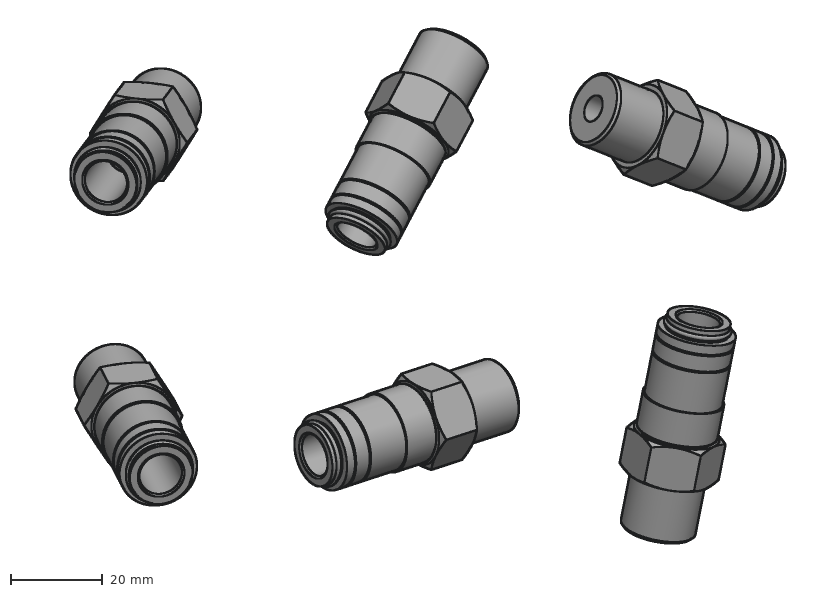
import cadquery as cq
import math

length = 50.0
hex_front = 27.0
hex_length = 10.0
hex_back = hex_front + hex_length
collar_back = 26.7
collar_front = 18.75
sleeve_front = 2.75

spigot_radius = 8.3
neck_radius = 8.5
collar_radius = 9.0
sleeve_radius = 8.65
nose_radius = 7.0
end_chamfer = 0.65
collar_chamfer = 0.15

bead_center = 1.75
bead_center_radius = 6.85
bead_radius = 0.65

groove_centers = (5.1, 9.1)
groove_width = 0.3
groove_depth = 0.1

across_flats = 19.0
hex_corner_radius = across_flats / math.sqrt(3)
hex_chamfer_angle = 30.0

bore_radius = 3.0
socket_radius = 4.75
socket_mouth_radius = 5.2
socket_depth = 18.75
mouth_chamfer = socket_mouth_radius - socket_radius


def revolve_profile(points):
    """Turn a closed (radius, y) outline about the Y axis."""
    outline = cq.Workplane("XY").polyline(points).close()
    return outline.revolve(360, (0, 0, 0), (0, 1, 0))


def cylinder(radius, start, end):
    """Solid cylinder along Y between two places."""
    return revolve_profile([(0, start), (radius, start), (radius, end), (0, end)])


def make_hexagon():
    """Hexagon with corners on X and both ends chamfered by cones."""
    prism = (
        cq.Workplane("XZ", origin=(0, hex_front, 0))
        .polygon(6, 2 * hex_corner_radius)
        .extrude(-hex_length)
    )
    face_radius = across_flats / 2
    drop = (hex_corner_radius - face_radius) * math.tan(math.radians(hex_chamfer_angle))
    envelope = revolve_profile([
        (0, hex_front),
        (face_radius, hex_front),
        (hex_corner_radius, hex_front + drop),
        (hex_corner_radius, hex_back - drop),
        (face_radius, hex_back),
        (0, hex_back),
    ])
    return prism.intersect(envelope)


def make_bead():
    """Rounded ring standing out from the nose."""
    section = cq.Workplane("XY").center(bead_center_radius, bead_center).circle(bead_radius)
    return section.revolve(360, (-bead_center_radius, 0, 0), (-bead_center_radius, 1, 0))


def make_groove(center):
    """Ring of material to remove from the sleeve."""
    start = center - groove_width / 2
    end = center + groove_width / 2
    floor = sleeve_radius - groove_depth
    return cylinder(collar_radius, start, end).cut(cylinder(floor, start, end))


def make_bore():
    """Through hole opening into a chamfered socket."""
    return revolve_profile([
        (0, 0),
        (socket_mouth_radius, 0),
        (socket_radius, mouth_chamfer),
        (socket_radius, socket_depth),
        (bore_radius, socket_depth),
        (bore_radius, length),
        (0, length),
    ])


spigot = cylinder(spigot_radius, hex_back, length).faces(">Y").chamfer(end_chamfer)
collar = cylinder(collar_radius, collar_front, collar_back).faces(">Y").edges().chamfer(collar_chamfer)

result = (
    cylinder(nose_radius, 0, sleeve_front)
    .union(make_bead())
    .union(cylinder(sleeve_radius, sleeve_front, collar_front))
    .union(collar)
    .union(cylinder(neck_radius, collar_back, hex_front))
    .union(make_hexagon())
    .union(spigot)
)
for groove_center in groove_centers:
    result = result.cut(make_groove(groove_center))
result = result.cut(make_bore())